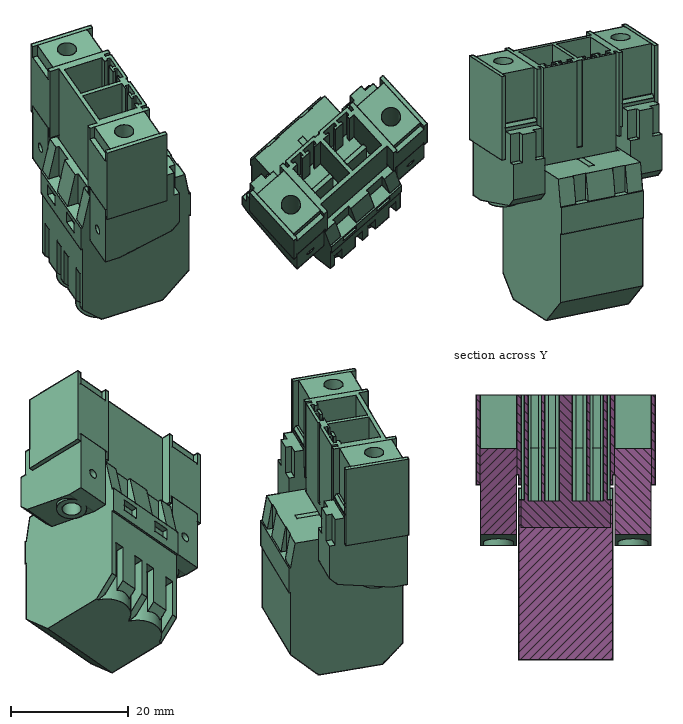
import cadquery as cq


POLE_X = 3.82
HEIGHT = 45.0

PLUG_HALF_WIDTH = 8.0
PLUG_FRONT = -6.2
PLUG_BACK = 13.8
PLUG_BACK_TOP = 27.22
PLUG_FRONT_TOP = 29.15
FRONT_BOTTOM_CHAMFER = 3.6
BACK_BOTTOM_CHAMFER = 5.0
BAND_BOTTOM = 17.45
BAND_TOP = 22.4
BAND_FRONT = -6.52
BAND_BACK = 14.1
RAMP_TOP_FRONT = -4.8
RAMP_TOP_BACK = 13.0

SOCKET_FLOOR = 22.5
SOCKET_FRONT = -3.45

FRONT_NOTCH_WIDTH = 3.5
FRONT_NOTCH_WALL = -4.25
BACK_NOTCH_WIDTH = 2.45
BACK_NOTCH_WALL = 12.85

WINDOW_WIDTH = 2.95
WINDOW_BOTTOM = 19.15
WINDOW_TOP = 21.4
WINDOW_DEPTH = 1.0

FUNNEL_RADIUS = 4.05
FUNNEL_FRONT = -5.15
FUNNEL_Y = FUNNEL_FRONT + FUNNEL_RADIUS
SLOT_TOP = 11.02
SLOT_INNER = 1.55
SLOT_OUTER = 3.2

HOUSING_HALF_WIDTH = 7.55
HOUSING_FRONT = -3.35
HOUSING_BACK = 6.25
CAVITY_FLOOR = 27.0
CORNER_GROOVE_WIDTH = 0.5
CORNER_GROOVE_DEPTH = 1.05

FLANGE_X = 11.45
FLANGE_FRONT = -5.0
FLANGE_OUTER = 15.232
FLANGE_BOTTOM = 29.75
FRONT_SKIN_TOP = 42.55
FRONT_SKIN_BACK = -4.1
SCREW_HOLE_RADIUS = 1.6

LATCH_INNER = 8.32
LATCH_OUTER = 14.5
LATCH_SHOULDER = 31.4
LATCH_BOTTOM = 19.4
LATCH_BACK = 8.95
LATCH_BACK_BOTTOM = 23.25
LATCH_BEND = (7.5, 21.8)
LATCH_SLOPE_END = -2.3
TAB_TOP = 34.88
INSERT_BACK = 5.2
RIDGE_BACK = 5.65
RIDGE_TOP = 36.0
RIDGE_INNER_DROP = 0.1
RIDGE_OUTER_DROP = 0.55
LEDGE_FRONT = 6.1
TAB_NOTCH_WIDTH = 1.8
TAB_NOTCH_DEPTH = 1.05
BOSS_RADIUS = 2.55
CROSS_HOLE_RADIUS = 0.8
CROSS_HOLE_Z = 24.35

KEY_WIDTH = 1.1
KEY_BACK = 10.3
KEY_GROOVE_DEPTH = 0.25
KEY_GROOVE_BOTTOM = 29.25
PIN_WIDTH = 4.5
PIN_THICKNESS = 0.8
PIN_Y = 0.65
PIN_TOP = 36.0


def block(x_range, y_range, z_range):
    """Box between two limits along each axis."""
    (x0, x1), (y0, y1), (z0, z1) = x_range, y_range, z_range
    return cq.Workplane("XY").box(x1 - x0, y1 - y0, z1 - z0, centered=False).translate((x0, y0, z0))


def around(center, width):
    """Limits of a span of this width about a centre."""
    return (center - width / 2, center + width / 2)


def side_profile(points, x_range):
    """Outline in the YZ plane, extruded between two X limits."""
    x0, x1 = x_range
    return cq.Workplane("YZ").polyline(points).close().extrude(x1 - x0).translate((x0, 0, 0))


def upright_cylinder(x, y, radius, z_range):
    z0, z1 = z_range
    return cq.Workplane("XY", origin=(x, y, z0)).circle(radius).extrude(z1 - z0)


def on_side(shape, side):
    """Keep a shape made for +X, or mirror it to -X."""
    return shape if side > 0 else shape.mirror("YZ")


def pin_shape(x):
    return block(around(x, PIN_WIDTH), around(PIN_Y, PIN_THICKNESS), (SOCKET_FLOOR, PIN_TOP))


def key_shape():
    return block(around(0, KEY_WIDTH), (HOUSING_BACK, KEY_BACK), (SOCKET_FLOOR, PLUG_BACK_TOP))


def plug_shell():
    """Plug outline with raised bands, ramps above them and chamfers at the underside."""
    profile = [
        (PLUG_FRONT + FRONT_BOTTOM_CHAMFER, 0),
        (PLUG_BACK - BACK_BOTTOM_CHAMFER, 0),
        (PLUG_BACK, BACK_BOTTOM_CHAMFER),
        (PLUG_BACK, BAND_BOTTOM),
        (BAND_BACK, BAND_BOTTOM),
        (BAND_BACK, BAND_TOP),
        (PLUG_BACK, BAND_TOP),
        (RAMP_TOP_BACK, PLUG_BACK_TOP),
        (SOCKET_FRONT, PLUG_BACK_TOP),
        (SOCKET_FRONT, PLUG_FRONT_TOP),
        (RAMP_TOP_FRONT, PLUG_FRONT_TOP),
        (PLUG_FRONT, BAND_TOP),
        (BAND_FRONT, BAND_TOP),
        (BAND_FRONT, BAND_BOTTOM),
        (PLUG_FRONT, BAND_BOTTOM),
        (PLUG_FRONT, FRONT_BOTTOM_CHAMFER),
    ]
    return side_profile(profile, (-PLUG_HALF_WIDTH, PLUG_HALF_WIDTH))


def ramp_notches(x):
    """Upright notches through both ramps, down to the top of the bands."""
    front = block(around(x, FRONT_NOTCH_WIDTH), (BAND_FRONT, FRONT_NOTCH_WALL), (BAND_TOP, PLUG_FRONT_TOP))
    back = block(around(x, BACK_NOTCH_WIDTH), (BACK_NOTCH_WALL, BAND_BACK), (BAND_TOP, PLUG_BACK_TOP))
    return front.union(back)


def band_window(x):
    return block(
        around(x, WINDOW_WIDTH), (BAND_FRONT, BAND_FRONT + WINDOW_DEPTH), (WINDOW_BOTTOM, WINDOW_TOP)
    )


def wire_slots(x):
    """Pair of front slots, open at the underside and as deep as the round wire entry."""
    left = block((x - SLOT_OUTER, x - SLOT_INNER), (PLUG_FRONT, FUNNEL_Y), (0, SLOT_TOP))
    right = block((x + SLOT_INNER, x + SLOT_OUTER), (PLUG_FRONT, FUNNEL_Y), (0, SLOT_TOP))
    return left.union(right)


def make_plug():
    plug = plug_shell()
    socket = block(
        (-HOUSING_HALF_WIDTH, HOUSING_HALF_WIDTH), (SOCKET_FRONT, HOUSING_BACK), (SOCKET_FLOOR, HEIGHT)
    )
    plug = plug.cut(socket).cut(key_shape())
    for x in (-POLE_X, POLE_X):
        plug = plug.cut(ramp_notches(x)).cut(band_window(x)).cut(wire_slots(x))
    for x in (-POLE_X, POLE_X):
        plug = plug.union(upright_cylinder(x, FUNNEL_Y, FUNNEL_RADIUS, (0, SLOT_TOP)))
    return plug


def cavity(side):
    """Contact chamber whose back wall carries two T-shaped coding grooves."""
    outer_x, inner_x = -6.98, -0.35
    front_y, outer_back, inner_back = -2.55, 4.45, 4.75
    tongue_y, shoulder_y, groove_back = 4.65, 5.1, 5.65
    outer_head, outer_neck = (-6.35, -4.15), (-5.95, -4.6)
    inner_head, inner_neck = (-3.55, -1.12), (-2.92, -1.7)
    outline = [
        (outer_x, front_y),
        (outer_x, outer_back),
        (outer_neck[0], outer_back),
        (outer_neck[0], shoulder_y),
        (outer_head[0], shoulder_y),
        (outer_head[0], groove_back),
        (outer_head[1], groove_back),
        (outer_head[1], shoulder_y),
        (outer_neck[1], shoulder_y),
        (outer_neck[1], tongue_y),
        (inner_neck[0], tongue_y),
        (inner_neck[0], shoulder_y),
        (inner_head[0], shoulder_y),
        (inner_head[0], groove_back),
        (inner_head[1], groove_back),
        (inner_head[1], shoulder_y),
        (inner_neck[1], shoulder_y),
        (inner_neck[1], inner_back),
        (inner_x, inner_back),
        (inner_x, front_y),
    ]
    floor = cq.Workplane("XY", origin=(0, 0, CAVITY_FLOOR))
    left = floor.polyline(outline).close().extrude(HEIGHT - CAVITY_FLOOR)
    return on_side(left, -side)


def flange(side):
    """Frame of one flange: an inner and an outer plate joined by a front skin, open at the back."""
    plate_depth = (FLANGE_FRONT, HOUSING_BACK)
    outer_plate = block((LATCH_OUTER, FLANGE_OUTER), plate_depth, (FLANGE_BOTTOM, HEIGHT))
    inner_plate = block((HOUSING_HALF_WIDTH, LATCH_INNER), plate_depth, (LATCH_SHOULDER, HEIGHT))
    inner_skirt = block((HOUSING_HALF_WIDTH, PLUG_HALF_WIDTH), plate_depth, (FLANGE_BOTTOM, LATCH_SHOULDER))
    front_skin = block(
        (LATCH_INNER, LATCH_OUTER), (FLANGE_FRONT, FRONT_SKIN_BACK), (LATCH_SHOULDER, FRONT_SKIN_TOP)
    )
    return on_side(front_skin.union(outer_plate).union(inner_plate).union(inner_skirt), side)


def corner_groove(side):
    groove = block(
        (HOUSING_HALF_WIDTH - CORNER_GROOVE_WIDTH, HOUSING_HALF_WIDTH),
        (HOUSING_BACK - CORNER_GROOVE_DEPTH, HOUSING_BACK),
        (PLUG_BACK_TOP, HEIGHT),
    )
    return on_side(groove, side)


def key_groove():
    """Groove down the back of the housing, ending a little above the coding key."""
    depth = (HOUSING_BACK - KEY_GROOVE_DEPTH, HOUSING_BACK)
    return block(around(0, KEY_WIDTH), depth, (KEY_GROOVE_BOTTOM, HEIGHT))


def make_housing():
    housing = block(
        (-HOUSING_HALF_WIDTH, HOUSING_HALF_WIDTH), (HOUSING_FRONT, HOUSING_BACK), (SOCKET_FLOOR, HEIGHT)
    )
    for side in (-1, 1):
        housing = housing.union(flange(side)).cut(cavity(side)).cut(corner_groove(side))
        housing = housing.cut(pin_shape(side * POLE_X))
    return housing.cut(key_groove())


def latch_blank():
    """Side outline of the insert, with a stepped front and a tab and snap ridge at the back."""
    profile = [
        (FLANGE_FRONT, LATCH_BOTTOM),
        (LATCH_SLOPE_END, LATCH_BOTTOM),
        LATCH_BEND,
        (LATCH_BACK, LATCH_BACK_BOTTOM),
        (LATCH_BACK, TAB_TOP),
        (HOUSING_BACK, TAB_TOP),
        (HOUSING_BACK, RIDGE_TOP - RIDGE_OUTER_DROP),
        (LEDGE_FRONT, RIDGE_TOP - RIDGE_OUTER_DROP),
        (RIDGE_BACK, RIDGE_TOP),
        (INSERT_BACK, RIDGE_TOP - RIDGE_INNER_DROP),
        (INSERT_BACK, HEIGHT),
        (FRONT_SKIN_BACK, HEIGHT),
        (FRONT_SKIN_BACK, LATCH_SHOULDER),
        (FLANGE_FRONT, LATCH_SHOULDER),
    ]
    return side_profile(profile, (LATCH_INNER, LATCH_OUTER))


def tab_notches():
    """Notches at both back corners of the tab."""
    depth = (LATCH_BACK - TAB_NOTCH_DEPTH, LATCH_BACK)
    height = (FLANGE_BOTTOM, TAB_TOP)
    inner = block((LATCH_INNER, LATCH_INNER + TAB_NOTCH_WIDTH), depth, height)
    outer = block((LATCH_OUTER - TAB_NOTCH_WIDTH, LATCH_OUTER), depth, height)
    return inner.union(outer)


def cross_hole():
    """Hole from the front face into the screw hole."""
    plane = cq.Workplane("XZ", origin=(FLANGE_X, 0, CROSS_HOLE_Z))
    return plane.circle(CROSS_HOLE_RADIUS).extrude(-FLANGE_FRONT)


def make_latch(side):
    """Insert of one flange, with a round boss under its slope and a screw hole right through."""
    latch = latch_blank().cut(tab_notches())
    latch = latch.union(upright_cylinder(FLANGE_X, 0, BOSS_RADIUS, (LATCH_BOTTOM, LATCH_SHOULDER)))
    latch = latch.cut(upright_cylinder(FLANGE_X, 0, SCREW_HOLE_RADIUS, (LATCH_BOTTOM, HEIGHT)))
    return on_side(latch.cut(cross_hole()), side)


plug = make_plug()
housing = make_housing()
coding_key = key_shape()
latches = [make_latch(side) for side in (-1, 1)]
pins = [pin_shape(x) for x in (-POLE_X, POLE_X)]

result = cq.Compound.makeCompound(
    [plug.val(), housing.val(), coding_key.val()]
    + [latch.val() for latch in latches]
    + [pin.val() for pin in pins]
)